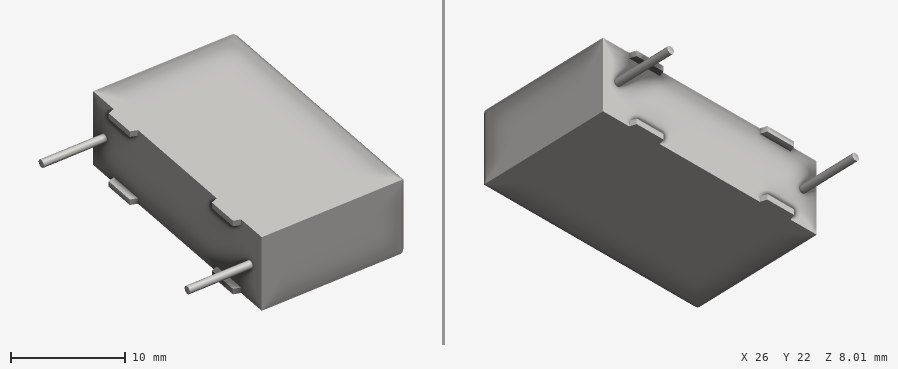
import cadquery as cq

housing_length = 26.0
housing_height = 15.3
housing_thickness = 8.01
rear_edge_radius = 0.6

foot_root_width = 3.75
foot_tip_width = 3.25
foot_height = 0.7
foot_thickness = 0.6
foot_spacing = 15.9

lead_diameter = 0.8
lead_pitch = 22.5
overall_height = 22.0
lead_length = overall_height - housing_height

lead_face_y = 0.0
half_thickness = housing_thickness / 2


def make_foot(center_x, bottom_z):
    """Trapezoid foot that narrows away from the housing."""
    tip_y = lead_face_y - foot_height
    return (
        cq.Workplane("XY", origin=(center_x, 0, bottom_z))
        .moveTo(-foot_root_width / 2, lead_face_y)
        .lineTo(-foot_tip_width / 2, tip_y)
        .lineTo(foot_tip_width / 2, tip_y)
        .lineTo(foot_root_width / 2, lead_face_y)
        .close()
        .extrude(foot_thickness)
    )


def make_housing():
    """Box with a rounded rear rim and four feet flush with its large faces."""
    body = (
        cq.Workplane("XY")
        .box(housing_length, housing_height, housing_thickness, centered=(True, False, True))
        .faces(">Y")
        .edges()
        .fillet(rear_edge_radius)
    )
    for side in (-1, 1):
        center_x = side * foot_spacing / 2
        for bottom_z in (-half_thickness, half_thickness - foot_thickness):
            body = body.union(make_foot(center_x, bottom_z))
    return body


def make_lead(center_x):
    """Straight wire that starts on the lead-side face."""
    return (
        cq.Workplane("XZ", origin=(center_x, lead_face_y, 0))
        .circle(lead_diameter / 2)
        .extrude(lead_length)
    )


housing = make_housing()
leads = [make_lead(side * lead_pitch / 2) for side in (-1, 1)]

result = cq.Compound.makeCompound([housing.val(), *[lead.val() for lead in leads]])